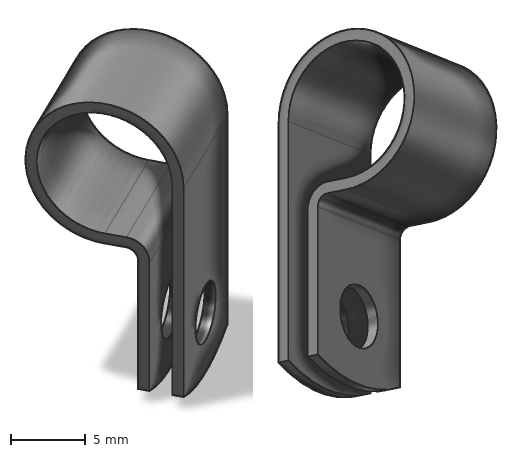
import cadquery as cq
import math

height = 23.22
width = 9.52
loop_diameter = 11.15
thickness = 0.81

leg_gap = 1.6
bend_inner_radius = 0.81
hole_diameter = 4.37
hole_height = 4.75
end_sag = 0.95

loop_radius = loop_diameter / 2
loop_inner_radius = loop_radius - thickness
loop_z = height - loop_radius
loop_bottom = loop_z - loop_radius

short_leg_right = loop_inner_radius - leg_gap
short_leg_left = short_leg_right - thickness
bend_outer_radius = bend_inner_radius + thickness
bend_x = short_leg_left - bend_inner_radius
bend_z = loop_bottom - bend_inner_radius


def bend_midpoint(radius):
    """Point at 45 degrees on a bend arc of the given radius."""
    offset = radius * math.sqrt(0.5)
    return (bend_x + offset, bend_z + offset)


def loop_midpoint(radius):
    """Upper-left point of the three-quarter loop."""
    offset = radius * math.sqrt(0.5)
    return (-offset, loop_z + offset)


def make_strip():
    """Bent strip: long leg, three-quarter loop, bend and short leg."""
    return (
        cq.Workplane("XZ")
        .moveTo(loop_radius, 0)
        .lineTo(loop_radius, loop_z)
        .threePointArc(loop_midpoint(loop_radius), (0, loop_bottom))
        .lineTo(bend_x, loop_bottom)
        .threePointArc(bend_midpoint(bend_inner_radius), (short_leg_left, bend_z))
        .lineTo(short_leg_left, 0)
        .lineTo(short_leg_right, 0)
        .lineTo(short_leg_right, bend_z)
        .threePointArc(bend_midpoint(bend_outer_radius), (bend_x, loop_bottom + thickness))
        .lineTo(0, loop_bottom + thickness)
        .threePointArc(loop_midpoint(loop_inner_radius), (loop_inner_radius, loop_z))
        .lineTo(loop_inner_radius, 0)
        .close()
        .extrude(width / 2, both=True)
    )


def make_side_envelope():
    """Block with a rounded lower end, which shapes the ends of both legs."""
    return (
        cq.Workplane("YZ")
        .moveTo(-width / 2, height)
        .lineTo(-width / 2, end_sag)
        .threePointArc((0, 0), (width / 2, end_sag))
        .lineTo(width / 2, height)
        .close()
        .extrude(loop_radius, both=True)
    )


def make_screw_hole():
    """Cylinder along X that passes through both legs."""
    return (
        cq.Workplane("YZ")
        .center(0, hole_height)
        .circle(hole_diameter / 2)
        .extrude(loop_radius)
    )


result = make_strip().intersect(make_side_envelope()).cut(make_screw_hole())